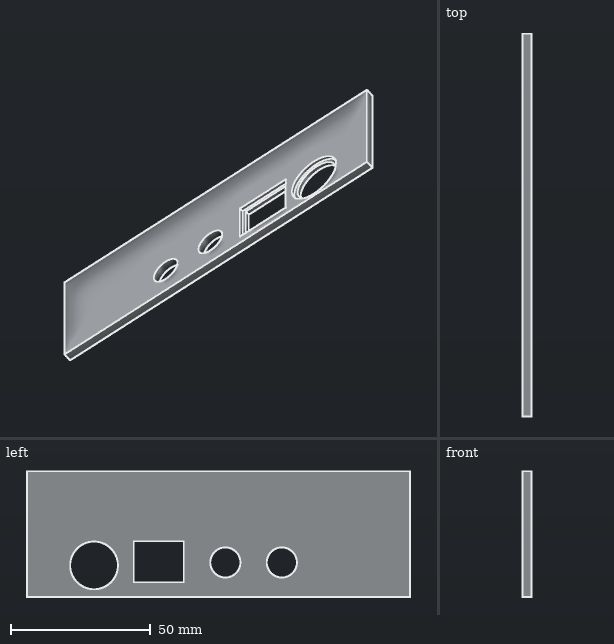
import cadquery as cq

THICKNESS = 3.3
LENGTH = 137.0
HEIGHT = 45.0
BACK_X = THICKNESS / 2

LARGE_HOLE_DIAMETER = 17.0
LARGE_HOLE_Y = 44.5
LARGE_HOLE_HEIGHT = 11.3

WINDOW_WIDTH = 17.8
WINDOW_HEIGHT = 14.5
WINDOW_Y = 21.4
WINDOW_CENTRE_HEIGHT = 12.6

SMALL_HOLE_DIAMETER = 10.7
SMALL_HOLE_SPACING = 20.2
SMALL_HOLE_HEIGHT = 12.35
FIRST_SMALL_HOLE_Y = -2.45
SMALL_HOLE_YS = (FIRST_SMALL_HOLE_Y, FIRST_SMALL_HOLE_Y - SMALL_HOLE_SPACING)

RECESS_DEPTH = 1.5
RECESS_MARGIN = 1.5


def at_opening(y, height):
    """Workplane on the back face, facing +X and centred on an opening."""
    return cq.Workplane("YZ", origin=(BACK_X, y, height - HEIGHT / 2))


def round_cutter(diameter, y, height, depth):
    """Cylinder sunk to the given depth from the back face."""
    return at_opening(y, height).circle(diameter / 2).extrude(-depth)


def window_cutter(margin, depth):
    """Window block, enlarged by a margin on each side, sunk from the back face."""
    plane = at_opening(WINDOW_Y, WINDOW_CENTRE_HEIGHT)
    outline = plane.rect(WINDOW_WIDTH + 2 * margin, WINDOW_HEIGHT + 2 * margin)
    return outline.extrude(-depth)


def cut_large_hole(panel):
    """Large hole with a round recess behind it."""
    recess_diameter = LARGE_HOLE_DIAMETER + 2 * RECESS_MARGIN
    hole = round_cutter(LARGE_HOLE_DIAMETER, LARGE_HOLE_Y, LARGE_HOLE_HEIGHT, THICKNESS)
    recess = round_cutter(recess_diameter, LARGE_HOLE_Y, LARGE_HOLE_HEIGHT, RECESS_DEPTH)
    return panel.cut(hole).cut(recess)


def cut_window(panel):
    """Rectangular window with a rectangular recess behind it."""
    opening = window_cutter(0, THICKNESS)
    recess = window_cutter(RECESS_MARGIN, RECESS_DEPTH)
    return panel.cut(opening).cut(recess)


def cut_small_holes(panel):
    """Pair of equal plain through holes."""
    for hole_y in SMALL_HOLE_YS:
        hole = round_cutter(SMALL_HOLE_DIAMETER, hole_y, SMALL_HOLE_HEIGHT, THICKNESS)
        panel = panel.cut(hole)
    return panel


panel = cq.Workplane("XY").box(THICKNESS, LENGTH, HEIGHT)
panel = cut_large_hole(panel)
panel = cut_window(panel)
panel = cut_small_holes(panel)

result = panel